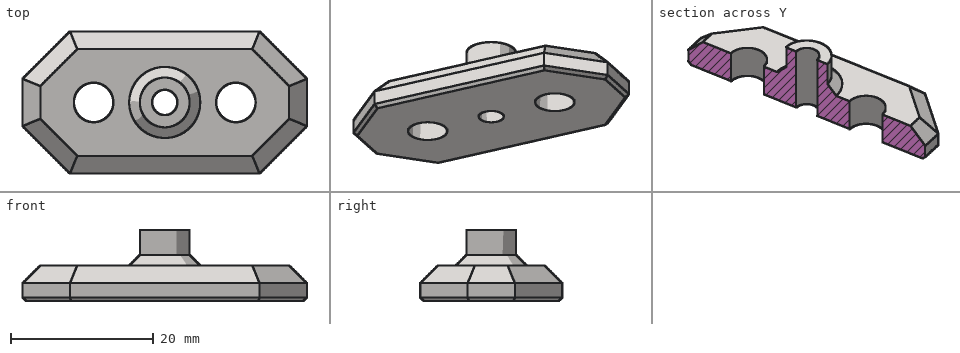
import cadquery as cq

length = 40.0
width = 20.0
plate_height = width / 4
corner_cut = width / 3
top_chamfer = plate_height / 2
bottom_chamfer = plate_height / 10

total_height = 10.0
boss_diameter = 7.0
foot_diameter = 10.0
foot_height = (foot_diameter - boss_diameter) / 2

boss_bore = 3.5
mounting_hole = 5.5
mounting_spacing = length / 2


def make_plate():
    """Rectangle with cut corners, bevelled around its top and bottom rims."""
    plate = cq.Workplane("XY").box(length, width, plate_height, centered=(True, True, False))
    plate = plate.edges("|Z").chamfer(corner_cut)
    plate = plate.faces(">Z").chamfer(top_chamfer)
    return plate.faces("<Z").chamfer(bottom_chamfer)


def make_boss():
    """Conical foot and cylinder, revolved about Z on top of the plate."""
    foot_radius = foot_diameter / 2
    boss_radius = boss_diameter / 2
    profile = [
        (0, plate_height),
        (foot_radius, plate_height),
        (boss_radius, plate_height + foot_height),
        (boss_radius, total_height),
        (0, total_height),
    ]
    return cq.Workplane("XZ").polyline(profile).close().revolve(360, (0, 0), (0, 1))


def through_hole(x, diameter):
    return cq.Workplane("XY").center(x, 0).circle(diameter / 2).extrude(total_height)


result = make_plate().union(make_boss())
result = result.cut(through_hole(0, boss_bore))
for side in (-1, 1):
    result = result.cut(through_hole(side * mounting_spacing / 2, mounting_hole))